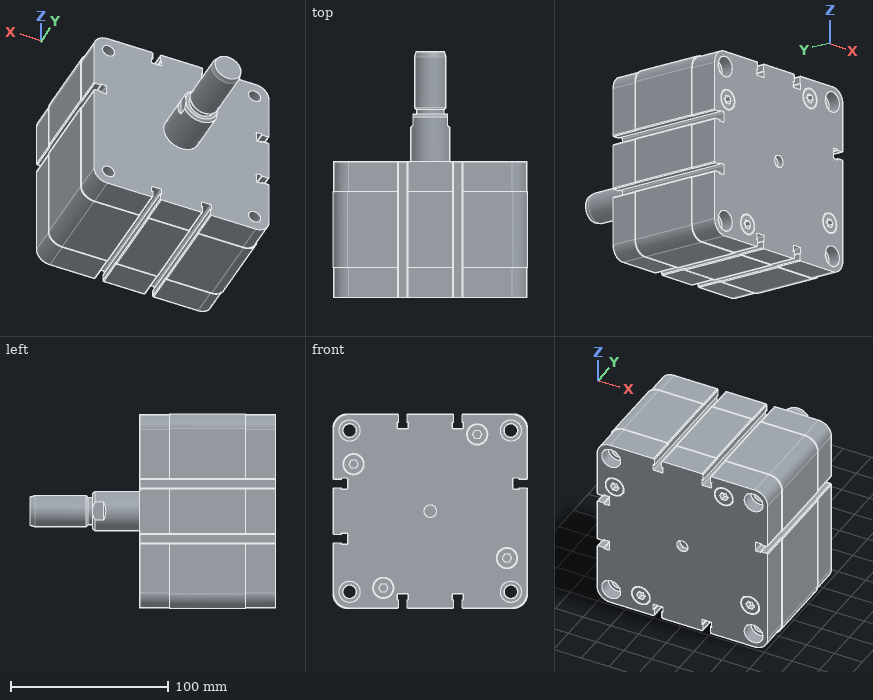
import cadquery as cq
import math

BARREL_WIDTH = 124.0
CAP_WIDTH = 123.0
CORNER_RADIUS = 9.4
CAP_LENGTH = 19.1
HOUSING_LENGTH = 86.5
REAR_CAP_Y = HOUSING_LENGTH - CAP_LENGTH
BARREL_LENGTH = REAR_CAP_Y - CAP_LENGTH

SLOT_OFFSET = 17.5
SLOT_MOUTH_WIDTH = 5.3
SLOT_FLOOR_WIDTH = 6.9
SLOT_FLOOR_DISTANCE = 52.6
SLOT_STEP_DISTANCE = 56.5
SLOT_FLOOR_FILLET = 0.6
SLOT_MOUTH_BEVEL = 0.6

MOUNT_OFFSET = 51.3
MOUNT_HOLE_DIAMETER = 8.5
MOUNT_BORE_DIAMETER = 13.5
MOUNT_BORE_DEPTH = 8.8

SCREW_NEAR_OFFSET = 29.9
SCREW_FAR_OFFSET = 48.8
SCREW_SEAT_DIAMETER = 13.5
SCREW_HEAD_DIAMETER = 12.5
SCREW_HEAD_HEIGHT = 7.8
SCREW_SOCKET_FLATS = 5.2
SCREW_SOCKET_DEPTH = 3.9

CENTRE_HOLE_DIAMETER = 8.0
CENTRE_HOLE_DEPTH = 4.0

TOTAL_LENGTH = 156.5
ROD_DIAMETER = 25.0
ROD_SHOULDER_Y = 116.7
ROD_CHAMFER_LENGTH = 1.7
ROD_SHOULDER_DIAMETER = 22.2
FLATS_WIDTH = 22.2
FLATS_LENGTH = 7.2
NECK_DIAMETER = 17.5
NECK_LENGTH = 2.8
NECK_CHAMFER_LENGTH = 1.1
THREAD_DIAMETER = 20.0
TIP_DIAMETER = 18.2
TIP_CHAMFER_LENGTH = 3.3


def front_plane(y=0.0):
    """Sketch plane at depth y: local x is +X, local y is +Z, extrusion runs towards -Y."""
    return cq.Workplane("XZ", origin=(0, y, 0))


def rounded_block(width, y_start, length):
    block = front_plane(y_start).rect(width, width).extrude(-length)
    return block.edges("|Y").fillet(CORNER_RADIUS)


def cylinders(points, diameter, depth):
    """Cylinders starting at the front face and running depth into the housing."""
    return front_plane().pushPoints(points).circle(diameter / 2).extrude(-depth)


def housing():
    front_cap = rounded_block(CAP_WIDTH, 0, CAP_LENGTH)
    barrel = rounded_block(BARREL_WIDTH, CAP_LENGTH, BARREL_LENGTH)
    rear_cap = rounded_block(CAP_WIDTH, REAR_CAP_Y, CAP_LENGTH)
    return front_cap.union(barrel).union(rear_cap)


def mouth_cutter(y_start, length, body_width):
    """Slot mouth through one housing section, with bevelled edges at its outer face."""
    half_mouth = SLOT_MOUTH_WIDTH / 2
    half_bevel = half_mouth + SLOT_MOUTH_BEVEL
    face = body_width / 2
    outline = [
        (-half_mouth, SLOT_FLOOR_DISTANCE),
        (-half_mouth, face - SLOT_MOUTH_BEVEL),
        (-half_bevel, face),
        (half_bevel, face),
        (half_mouth, face - SLOT_MOUTH_BEVEL),
        (half_mouth, SLOT_FLOOR_DISTANCE),
    ]
    return front_plane(y_start).polyline(outline).close().extrude(-length)


def slot_cutter():
    """T-slot opening towards +Z, centred on X = 0."""
    floor_height = SLOT_STEP_DISTANCE - SLOT_FLOOR_DISTANCE
    cutter = (
        front_plane()
        .center(0, SLOT_FLOOR_DISTANCE + floor_height / 2)
        .rect(SLOT_FLOOR_WIDTH, floor_height)
        .extrude(-HOUSING_LENGTH)
        .edges("|Y and <Z")
        .fillet(SLOT_FLOOR_FILLET)
    )
    cutter = cutter.union(mouth_cutter(0, CAP_LENGTH, CAP_WIDTH))
    cutter = cutter.union(mouth_cutter(CAP_LENGTH, BARREL_LENGTH, BARREL_WIDTH))
    return cutter.union(mouth_cutter(REAR_CAP_Y, CAP_LENGTH, CAP_WIDTH))


def cut_slots(body):
    placements = [
        (0, -SLOT_OFFSET), (0, SLOT_OFFSET),
        (180, -SLOT_OFFSET), (180, SLOT_OFFSET),
        (-90, -SLOT_OFFSET), (-90, SLOT_OFFSET),
        (90, -SLOT_OFFSET),
    ]
    slot = slot_cutter()
    for turn, shift in placements:
        body = body.cut(slot.translate((shift, 0, 0)).rotate((0, 0, 0), (0, 1, 0), turn))
    return body


def cut_mounting_holes(body):
    corners = [(sx * MOUNT_OFFSET, sz * MOUNT_OFFSET) for sx in (-1, 1) for sz in (-1, 1)]
    body = body.cut(cylinders(corners, MOUNT_HOLE_DIAMETER, HOUSING_LENGTH))
    return body.cut(cylinders(corners, MOUNT_BORE_DIAMETER, MOUNT_BORE_DEPTH))


def add_screws(body):
    near, far = SCREW_NEAR_OFFSET, SCREW_FAR_OFFSET
    places = [(near, far), (far, -near), (-near, -far), (-far, near)]
    socket_diameter = SCREW_SOCKET_FLATS / math.cos(math.pi / 6)
    sockets = front_plane().pushPoints(places).polygon(6, socket_diameter).extrude(-SCREW_SOCKET_DEPTH)
    body = body.cut(cylinders(places, SCREW_SEAT_DIAMETER, SCREW_HEAD_HEIGHT))
    body = body.union(cylinders(places, SCREW_HEAD_DIAMETER, SCREW_HEAD_HEIGHT))
    return body.cut(sockets)


def piston_rod():
    """Turned rod with neck, threaded end and two wrench flats facing -X and +X."""
    neck_end_y = ROD_SHOULDER_Y + NECK_LENGTH
    half_profile = [
        (0, HOUSING_LENGTH),
        (ROD_DIAMETER / 2, HOUSING_LENGTH),
        (ROD_DIAMETER / 2, ROD_SHOULDER_Y - ROD_CHAMFER_LENGTH),
        (ROD_SHOULDER_DIAMETER / 2, ROD_SHOULDER_Y),
        (NECK_DIAMETER / 2, ROD_SHOULDER_Y),
        (NECK_DIAMETER / 2, neck_end_y),
        (THREAD_DIAMETER / 2, neck_end_y + NECK_CHAMFER_LENGTH),
        (THREAD_DIAMETER / 2, TOTAL_LENGTH - TIP_CHAMFER_LENGTH),
        (TIP_DIAMETER / 2, TOTAL_LENGTH),
        (0, TOTAL_LENGTH),
    ]
    rod = cq.Workplane("XY").polyline(half_profile).close().revolve(360, (0, 0, 0), (0, 1, 0))

    flat_x = FLATS_WIDTH / 2
    slope = ROD_DIAMETER / 2 - flat_x
    flat_start_y = ROD_SHOULDER_Y - FLATS_LENGTH
    flat_outline = [
        (flat_x, ROD_SHOULDER_Y),
        (flat_x, flat_start_y),
        (flat_x + slope, flat_start_y - slope),
        (flat_x + slope, ROD_SHOULDER_Y),
    ]
    flat = cq.Workplane("XY").polyline(flat_outline).close().extrude(ROD_DIAMETER / 2, both=True)
    return rod.cut(flat).cut(flat.mirror("YZ"))


body = cut_slots(housing())
body = cut_mounting_holes(body)
body = add_screws(body)
body = body.cut(cylinders([(0, 0)], CENTRE_HOLE_DIAMETER, CENTRE_HOLE_DEPTH))
result = body.union(piston_rod())